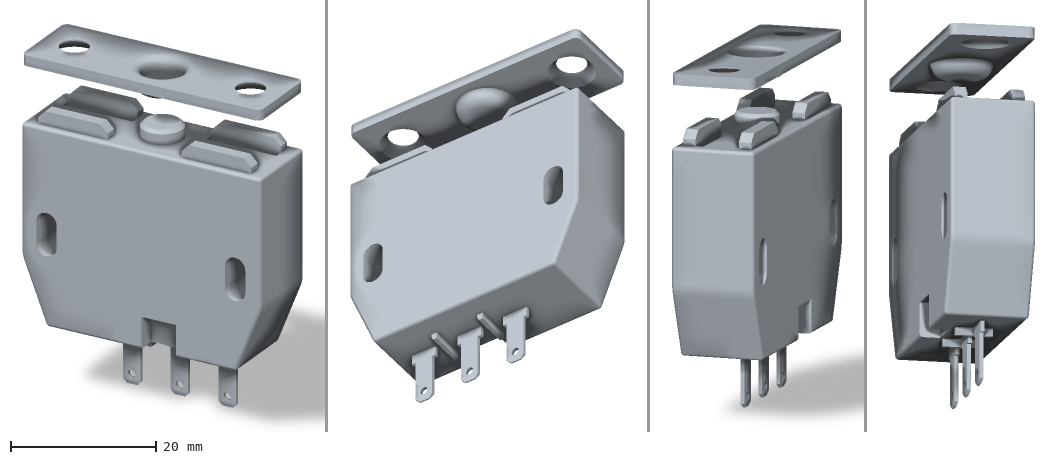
import cadquery as cq
import math

WIDTH = 38.0
DEPTH = 12.0
CASE_HEIGHT = 29.95
OVERALL_HEIGHT = 49.0
TERMINAL_LENGTH = 8.65
HALF_WIDTH = WIDTH / 2
FRONT_Y = -DEPTH / 2

CORNER_INSET = 3.95
CORNER_HEIGHT = 9.95
CORNER_RADIUS = 3.9
EDGE_RADIUS = 0.5

COVER_THICKNESS = 1.05
PARTING_Y = FRONT_Y + COVER_THICKNESS
TAB_SIZE = 3.0
TAB_TOP_Z = 26.95

SLOT_WIDTH = 3.25
SLOT_LENGTH = 6.55
SLOT_X = 15.0
SLOT_Z = 13.9

TERMINAL_X = 2.85
TERMINAL_PITCH = 7.6
TERMINAL_THICKNESS = 0.55
COLLAR_WIDTH = 3.9
COLLAR_LENGTH = 1.55
BLADE_WIDTH = 2.8
TIP_LENGTH = 0.65
TIP_WIDTH = 1.6
TIP_THICKNESS = 0.25
TERMINAL_HOLE_RADIUS = 0.6
TERMINAL_HOLE_Z = -7.1

NOTCH_WIDTH = 5.55
NOTCH_HEIGHT = 4.9
NOTCH_DEPTH = 2.85

BARRIER_X = -0.5
BARRIER_WIDTH = 0.9
BARRIER_LENGTH = 5.3
BARRIER_HEIGHT = 1.1
BARRIER_CHAMFER_WIDTH = 0.25
BARRIER_CHAMFER_HEIGHT = 0.7

RIB_LENGTH = 11.05
RIB_THICKNESS = 1.8
RIB_HEIGHT = 2.1
RIB_CHAMFER = 1.2
RIB_X = 11.4
RIB_Y = -PARTING_Y - RIB_THICKNESS / 2
POCKET_WIDTH = 1.2
POCKET_DEPTH = 1.45

BUTTON_RADIUS = 3.15
BUTTON_HEIGHT = RIB_HEIGHT
BUTTON_CHAMFER = 0.5

PLATE_THICKNESS = 1.6
PLATE_CORNER_RADIUS = 1.0
PLATE_TOP_Z = OVERALL_HEIGHT - TERMINAL_LENGTH
PLATE_HOLE_X = 14.0
PLATE_HOLE_RADIUS = 2.15
COUNTERSINK_DEPTH = 1.4
COUNTERSINK_RADIUS = 3.4
CUP_DEPTH = 1.85
CUP_FLOOR_RADIUS = 2.55
CUP_WALL_ANGLE = math.radians(64)


def slab(x_size, y_size, z_size, x, y, z):
    """Box centred on x and y, with its underside at z."""
    return cq.Workplane().box(x_size, y_size, z_size, centered=(True, True, False)).translate((x, y, z))


def make_case_block():
    """Full outer shape of the closed case, with the mounting slots and the notch cut out."""
    block = (
        cq.Workplane("XZ", origin=(0, -FRONT_Y, 0))
        .polyline([
            (CORNER_INSET - HALF_WIDTH, 0),
            (HALF_WIDTH - CORNER_INSET, 0),
            (HALF_WIDTH, CORNER_HEIGHT),
            (HALF_WIDTH, CASE_HEIGHT),
            (-HALF_WIDTH, CASE_HEIGHT),
            (-HALF_WIDTH, CORNER_HEIGHT),
        ])
        .close()
        .extrude(DEPTH)
    )
    side_corners = cq.selectors.BoxSelector(
        (-WIDTH, -DEPTH, CORNER_HEIGHT / 2), (WIDTH, DEPTH, CASE_HEIGHT / 2)
    )
    block = block.edges("|Y").edges(side_corners).fillet(CORNER_RADIUS)
    block = block.faces("<Y or >Y or >Z or <Z").edges().fillet(EDGE_RADIUS)
    slots = (
        cq.Workplane("XZ")
        .pushPoints([(-SLOT_X, SLOT_Z), (SLOT_X, SLOT_Z)])
        .slot2D(SLOT_LENGTH, SLOT_WIDTH, 90)
        .extrude(DEPTH, both=True)
    )
    notch = slab(NOTCH_WIDTH, NOTCH_DEPTH, NOTCH_HEIGHT, TERMINAL_X, FRONT_Y + NOTCH_DEPTH / 2, 0)
    return block.cut(slots).cut(notch)


def make_cover_space():
    """Region of the case block that belongs to the cover: its front layer and two end tabs."""
    space = slab(WIDTH, COVER_THICKNESS, CASE_HEIGHT, 0, FRONT_Y + COVER_THICKNESS / 2, 0)
    for side in (-1, 1):
        tab_x = side * (HALF_WIDTH - COVER_THICKNESS / 2)
        tab_z = TAB_TOP_Z - TAB_SIZE
        space = space.union(
            slab(COVER_THICKNESS, TAB_SIZE, TAB_SIZE, tab_x, PARTING_Y + TAB_SIZE / 2, tab_z)
        )
    return space


def make_rib(x, y):
    """Rib on top of the case, with both upper ends chamfered."""
    rib = slab(RIB_LENGTH, RIB_THICKNESS, RIB_HEIGHT, x, y, CASE_HEIGHT)
    return rib.faces(">Z").edges("|Y").chamfer(RIB_CHAMFER)


def make_pocket(x):
    """Pocket in the top of the case along the inner side of a rear rib."""
    y = RIB_Y - (RIB_THICKNESS + POCKET_WIDTH) / 2
    return slab(RIB_LENGTH, POCKET_WIDTH, POCKET_DEPTH, x, y, CASE_HEIGHT - POCKET_DEPTH)


def make_terminal(x):
    """Flat terminal below the case: a collar, a drilled blade and a tapered tip."""
    blade_length = TERMINAL_LENGTH - TIP_LENGTH
    collar = slab(COLLAR_WIDTH, TERMINAL_THICKNESS, COLLAR_LENGTH, x, 0, -COLLAR_LENGTH)
    blade = slab(BLADE_WIDTH, TERMINAL_THICKNESS, blade_length, x, 0, -blade_length)
    tip = (
        cq.Workplane("XY", origin=(x, 0, -TERMINAL_LENGTH))
        .rect(TIP_WIDTH, TIP_THICKNESS)
        .workplane(offset=TIP_LENGTH)
        .rect(BLADE_WIDTH, TERMINAL_THICKNESS)
        .loft()
    )
    hole = (
        cq.Workplane("XZ")
        .center(x, TERMINAL_HOLE_Z)
        .circle(TERMINAL_HOLE_RADIUS)
        .extrude(TERMINAL_THICKNESS, both=True)
    )
    return collar.union(blade).union(tip).cut(hole)


def make_barrier(x):
    """Short wall below the case, with its lower +X edge bevelled."""
    right_x = x + BARRIER_WIDTH / 2
    return (
        cq.Workplane("XZ", origin=(0, BARRIER_LENGTH / 2, 0))
        .polyline([
            (x - BARRIER_WIDTH / 2, 0),
            (right_x, 0),
            (right_x, BARRIER_CHAMFER_HEIGHT - BARRIER_HEIGHT),
            (right_x - BARRIER_CHAMFER_WIDTH, -BARRIER_HEIGHT),
            (x - BARRIER_WIDTH / 2, -BARRIER_HEIGHT),
        ])
        .close()
        .extrude(BARRIER_LENGTH)
    )


def make_housing(case_block, cover_space):
    """Rear part of the case, with its ribs, pockets, terminals and barriers."""
    housing = case_block.cut(cover_space)
    for x in (-RIB_X, RIB_X):
        for y in (-RIB_Y, RIB_Y):
            housing = housing.union(make_rib(x, y))
        housing = housing.cut(make_pocket(x))
    for step in (-1, 0, 1):
        housing = housing.union(make_terminal(TERMINAL_X + step * TERMINAL_PITCH))
    for step in (0, 1):
        housing = housing.union(make_barrier(BARRIER_X + step * TERMINAL_PITCH))
    return housing


def make_cover(case_block, cover_space):
    """Front layer of the case, with the tabs that reach into the housing."""
    return case_block.intersect(cover_space)


def make_button():
    """Round push button standing on the top of the case."""
    button = cq.Workplane("XY", origin=(0, 0, CASE_HEIGHT)).circle(BUTTON_RADIUS).extrude(BUTTON_HEIGHT)
    return button.faces(">Z").edges().chamfer(BUTTON_CHAMFER)


def cup_bend_point(centre, angle):
    """Point on a bend of one sheet thickness about centre, turned by angle from the axis direction."""
    radius, height = centre
    return (radius + PLATE_THICKNESS * math.sin(angle), height + PLATE_THICKNESS * math.cos(angle))


def make_plate_hole(x, bottom_z):
    """Space of a plate hole with a countersink from below."""
    hole = cq.Workplane("XY", origin=(x, 0, bottom_z)).circle(PLATE_HOLE_RADIUS).extrude(PLATE_THICKNESS)
    countersink = cq.Solid.makeCone(
        COUNTERSINK_RADIUS,
        PLATE_HOLE_RADIUS,
        COUNTERSINK_DEPTH,
        pnt=cq.Vector(x, 0, bottom_z),
    )
    return hole.union(cq.Workplane(countersink))


def make_plate():
    """Rectangular sheet with two countersunk holes and a cup pressed down at constant sheet thickness."""
    bottom_z = PLATE_TOP_Z - PLATE_THICKNESS
    floor_z = PLATE_TOP_Z - CUP_DEPTH
    sine = math.sin(CUP_WALL_ANGLE)
    cosine = math.cos(CUP_WALL_ANGLE)
    wall_drop = CUP_DEPTH - PLATE_THICKNESS * (1 - cosine)
    rim_radius = CUP_FLOOR_RADIUS + PLATE_THICKNESS * sine + wall_drop * cosine / sine

    rim_corner = (rim_radius, bottom_z)
    floor_corner = (CUP_FLOOR_RADIUS, floor_z)
    half_angle = CUP_WALL_ANGLE / 2
    cup = (
        cq.Workplane("XZ")
        .moveTo(0, floor_z)
        .lineTo(*floor_corner)
        .lineTo(*cup_bend_point(rim_corner, -CUP_WALL_ANGLE))
        .threePointArc(cup_bend_point(rim_corner, -half_angle), (rim_radius, PLATE_TOP_Z))
        .lineTo(*rim_corner)
        .lineTo(*cup_bend_point(floor_corner, math.pi - CUP_WALL_ANGLE))
        .threePointArc(
            cup_bend_point(floor_corner, math.pi - half_angle),
            (CUP_FLOOR_RADIUS, floor_z - PLATE_THICKNESS),
        )
        .lineTo(0, floor_z - PLATE_THICKNESS)
        .close()
        .revolve(360, (0, 0, 0), (0, 1, 0))
    )
    sheet = slab(WIDTH, DEPTH, PLATE_THICKNESS, 0, 0, bottom_z).edges("|Z").fillet(PLATE_CORNER_RADIUS)
    cup_opening = cq.Workplane("XY", origin=(0, 0, bottom_z)).circle(rim_radius).extrude(PLATE_THICKNESS)
    plate = sheet.cut(cup_opening).union(cup)
    for x in (-PLATE_HOLE_X, PLATE_HOLE_X):
        plate = plate.cut(make_plate_hole(x, bottom_z))
    return plate


case_block = make_case_block()
cover_space = make_cover_space()
housing = make_housing(case_block, cover_space)
cover = make_cover(case_block, cover_space)
button = make_button()
plate = make_plate()

result = cq.Compound.makeCompound([housing.val(), cover.val(), button.val(), plate.val()])